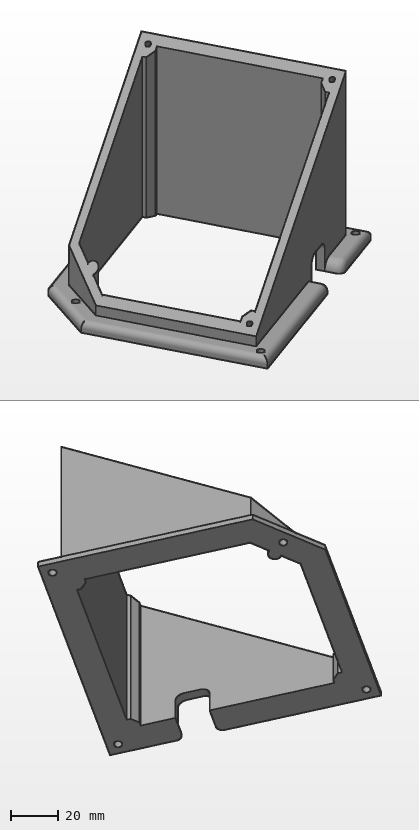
import cadquery as cq
import math

FLANGE_X = 110.0
FLANGE_Y = 120.0
FLANGE_THICKNESS = 5.0
FLANGE_ROUND = 3.0
FLANGE_CORNER_CUT = 25.0

MARGIN_X = 8.3
MARGIN_Y = 7.9
HOUSING_CORNER_CUT = 20.3
FRONT_HEIGHT = 10.0
BACK_HEIGHT = 85.0
SIDE_WALL = 4.1
END_WALL = 4.5
CAVITY_CORNER_CUT = 17.3

POST_SIZE = 4.8
POST_CHAMFER = 3.0
SCREW_DIAMETER = 2.5
SCREW_DEPTH = 4.8
SCREW_INSET_X = 4.7
SCREW_INSET_Y = 4.2

RIB_RADIUS = 2.9
RIB_CENTER = 21.4

MOUNT_DIAMETER = 3.5
MOUNT_INSET = 5.0
MOUNT_CORNER = 16.1

OPENING_WIDTH = 15.1
OPENING_HEIGHT = 15.0
OPENING_ROUND = 4.0
OPENING_FROM_BACK = 40.1

LEFT = MARGIN_X
RIGHT = FLANGE_X - MARGIN_X
FRONT = MARGIN_Y
BACK = FLANGE_Y - MARGIN_Y
CAVITY_LEFT = LEFT + SIDE_WALL
CAVITY_RIGHT = RIGHT - SIDE_WALL
CAVITY_FRONT = FRONT + END_WALL
CAVITY_BACK = BACK - END_WALL
SLOPE = (BACK_HEIGHT - FRONT_HEIGHT) / (BACK - FRONT)
OPENING_Y = FLANGE_Y - OPENING_FROM_BACK


def cut_corner_prism(x0, y0, x1, y1, corner_cut, height):
    """Rectangular prism on Z = 0 with its -X -Y corner cut at 45 degrees."""
    outline = [(x0 + corner_cut, y0), (x1, y0), (x1, y1), (x0, y1), (x0, y0 + corner_cut)]
    return cq.Workplane("XY").polyline(outline).close().extrude(height)


def cavity_corner_post(x, y, toward_x, toward_y):
    """Chamfered post in a cavity corner; toward_x and toward_y (+1 or -1) point into the cavity."""
    flat = POST_SIZE - POST_CHAMFER
    outline = [(0, 0), (POST_SIZE, 0), (POST_SIZE, flat), (flat, POST_SIZE), (0, POST_SIZE)]
    points = [(x + toward_x * dx, y + toward_y * dy) for dx, dy in outline]
    return cq.Workplane("XY").polyline(points).close().extrude(BACK_HEIGHT)


def flange_end(direction):
    """Quarter-round flange end beside the opening; direction (+1 or -1) points away from the gap."""
    axis_y = OPENING_Y + direction * (OPENING_WIDTH / 2 + FLANGE_THICKNESS)
    bend = FLANGE_ROUND * (1 - math.sqrt(0.5))
    profile = (
        cq.Workplane("XZ", origin=(0, axis_y, 0))
        .moveTo(CAVITY_RIGHT, 0)
        .lineTo(FLANGE_X, 0)
        .lineTo(FLANGE_X, FLANGE_THICKNESS - FLANGE_ROUND)
        .threePointArc(
            (FLANGE_X - bend, FLANGE_THICKNESS - bend),
            (FLANGE_X - FLANGE_ROUND, FLANGE_THICKNESS),
        )
        .lineTo(CAVITY_RIGHT, FLANGE_THICKNESS)
        .close()
    )
    return profile.revolve(90, (0, 0, 0), (direction, 0, 0))


flange = cut_corner_prism(0, 0, FLANGE_X, FLANGE_Y, FLANGE_CORNER_CUT, FLANGE_THICKNESS)
flange = flange.faces(">Z").edges().fillet(FLANGE_ROUND)

gap_length = OPENING_WIDTH + 2 * FLANGE_THICKNESS
flange_gap = cq.Workplane("XY").box(
    FLANGE_X - CAVITY_RIGHT, gap_length, FLANGE_THICKNESS, centered=(False, True, False)
).translate((CAVITY_RIGHT, OPENING_Y, 0))
flange = flange.cut(flange_gap).union(flange_end(1)).union(flange_end(-1))

cavity = cut_corner_prism(
    CAVITY_LEFT, CAVITY_FRONT, CAVITY_RIGHT, CAVITY_BACK, CAVITY_CORNER_CUT, BACK_HEIGHT
)
cavity = (
    cavity.cut(cavity_corner_post(CAVITY_LEFT, CAVITY_BACK, 1, -1))
    .cut(cavity_corner_post(CAVITY_RIGHT, CAVITY_BACK, -1, -1))
    .cut(cavity_corner_post(CAVITY_RIGHT, CAVITY_FRONT, -1, 1))
)
rib = cq.Workplane("XY").center(RIB_CENTER, RIB_CENTER).circle(RIB_RADIUS).extrude(BACK_HEIGHT)
cavity = cavity.cut(rib)

housing = cut_corner_prism(LEFT, FRONT, RIGHT, BACK, HOUSING_CORNER_CUT, BACK_HEIGHT)
side_profile = [(FRONT, 0), (BACK, 0), (BACK, BACK_HEIGHT), (FRONT, FRONT_HEIGHT)]
wedge = cq.Workplane("YZ").polyline(side_profile).close().extrude(FLANGE_X)
housing = housing.intersect(wedge)

result = housing.union(flange).cut(cavity)

opening = (
    cq.Workplane("XY")
    .box(SIDE_WALL, OPENING_WIDTH, OPENING_HEIGHT, centered=(False, True, False))
    .faces(">Z")
    .edges("|X")
    .fillet(OPENING_ROUND)
    .translate((CAVITY_RIGHT, OPENING_Y, 0))
)
result = result.cut(opening)

for x, y in [
    (LEFT + SCREW_INSET_X, BACK - SCREW_INSET_Y),
    (RIGHT - SCREW_INSET_X, BACK - SCREW_INSET_Y),
    (RIGHT - SCREW_INSET_X, FRONT + SCREW_INSET_Y),
]:
    mouth = cq.Vector(x, y, FRONT_HEIGHT + SLOPE * (y - FRONT))
    inward = cq.Vector(0, SLOPE, -1)
    result = result.cut(cq.Solid.makeCylinder(SCREW_DIAMETER / 2, SCREW_DEPTH, mouth, inward))

mount_holes = (
    cq.Workplane("XY")
    .pushPoints([
        (MOUNT_INSET, FLANGE_Y - MOUNT_INSET),
        (FLANGE_X - MOUNT_INSET, FLANGE_Y - MOUNT_INSET),
        (FLANGE_X - MOUNT_INSET, MOUNT_INSET),
        (MOUNT_CORNER, MOUNT_CORNER),
    ])
    .circle(MOUNT_DIAMETER / 2)
    .extrude(FLANGE_THICKNESS)
)
result = result.cut(mount_holes)